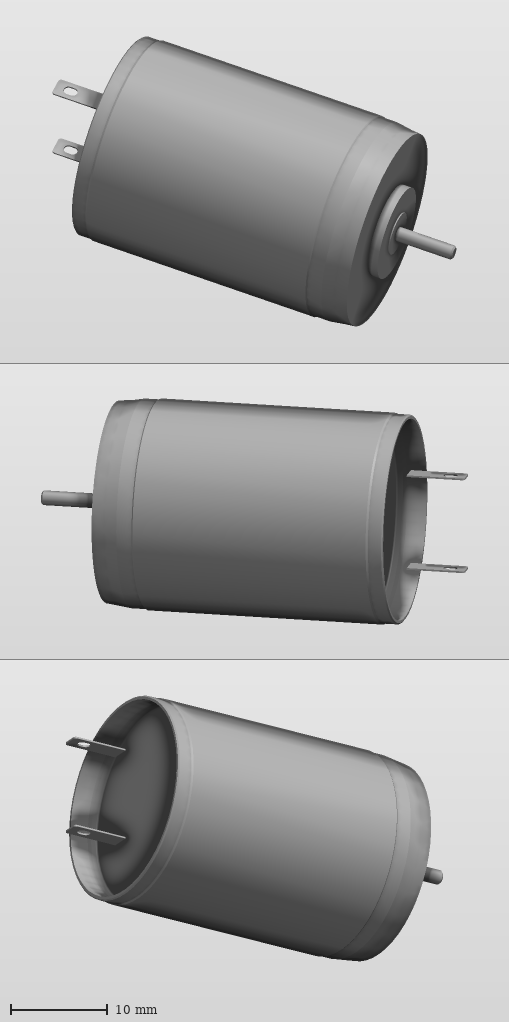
import cadquery as cq

can_diameter = 22.0
can_radius = can_diameter / 2
neck_radius = 10.9
bore_radius = 10.5
rim_chamfer = 0.15
rim_length = 1.55
rear_step_length = 0.22
front_step_x = 26.45
front_step_length = 0.15
taper_start_x = 28.2
front_face_x = 30.9
front_face_radius = 10.55

inner_step_x = 2.05
inner_step_gap = 0.45
inner_step_height = 0.05
recess_depth = 3.25
floor_fillet = 0.2

boss_radius = 5.0
boss_length = 1.1
collar_radius = 2.3
collar_length = 0.15
shaft_radius = 0.75
shaft_end_x = 38.48
shaft_chamfer = 0.2

overall_length = 45.0
tab_length = 6.1
tab_width = 2.02
tab_thickness = 0.2
tab_offset = 5.0
tab_corner_radius = 0.3
slot_length = 1.5
slot_width = 1.0
slot_from_tip = 1.7


def make_motor():
    boss_end_x = front_face_x + boss_length
    collar_end_x = boss_end_x + collar_length
    outline = [
        (0, 0),
        (0, neck_radius - rim_chamfer),
        (rim_chamfer, neck_radius),
        (rim_length, neck_radius),
        (rim_length + rear_step_length, can_radius),
        (front_step_x, can_radius),
        (front_step_x + front_step_length, neck_radius),
        (taper_start_x, neck_radius),
        (front_face_x, front_face_radius),
        (front_face_x, boss_radius),
        (boss_end_x, boss_radius),
        (boss_end_x, collar_radius),
        (collar_end_x, collar_radius),
        (collar_end_x, shaft_radius),
        (shaft_end_x - shaft_chamfer, shaft_radius),
        (shaft_end_x, shaft_radius - shaft_chamfer),
        (shaft_end_x, 0),
    ]
    body = cq.Workplane("XY").polyline(outline).close().revolve(360, (0, 0, 0), (1, 0, 0))
    return body.cut(make_rear_recess())


def make_rear_recess():
    """Stepped blind bore in the rear, rounded where it meets its floor."""
    step_end_x = inner_step_x + inner_step_gap
    step_radius = bore_radius + inner_step_height
    outline = (
        cq.Workplane("XY")
        .lineTo(0, bore_radius)
        .lineTo(inner_step_x, bore_radius)
        .lineTo(step_end_x, step_radius)
        .lineTo(recess_depth - floor_fillet, step_radius)
        .radiusArc((recess_depth, step_radius - floor_fillet), floor_fillet)
        .lineTo(recess_depth, 0)
        .close()
    )
    return outline.revolve(360, (0, 0, 0), (1, 0, 0))


def make_terminal(height):
    """Flat solder tab with a slot near its rounded rear end."""
    tip_x = shaft_end_x - overall_length
    plate = (
        cq.Workplane("XY")
        .box(tab_length, tab_width, tab_thickness)
        .edges("|Z and <X")
        .fillet(tab_corner_radius)
        .translate((tip_x + tab_length / 2, 0, height))
    )
    slot = (
        cq.Workplane("XY")
        .slot2D(slot_length, slot_width)
        .extrude(tab_thickness, both=True)
        .translate((tip_x + slot_from_tip, 0, height))
    )
    return plate.cut(slot)


motor = make_motor()
terminals = [make_terminal(side * tab_offset) for side in (1, -1)]

result = cq.Compound.makeCompound([motor.val(), *[terminal.val() for terminal in terminals]])